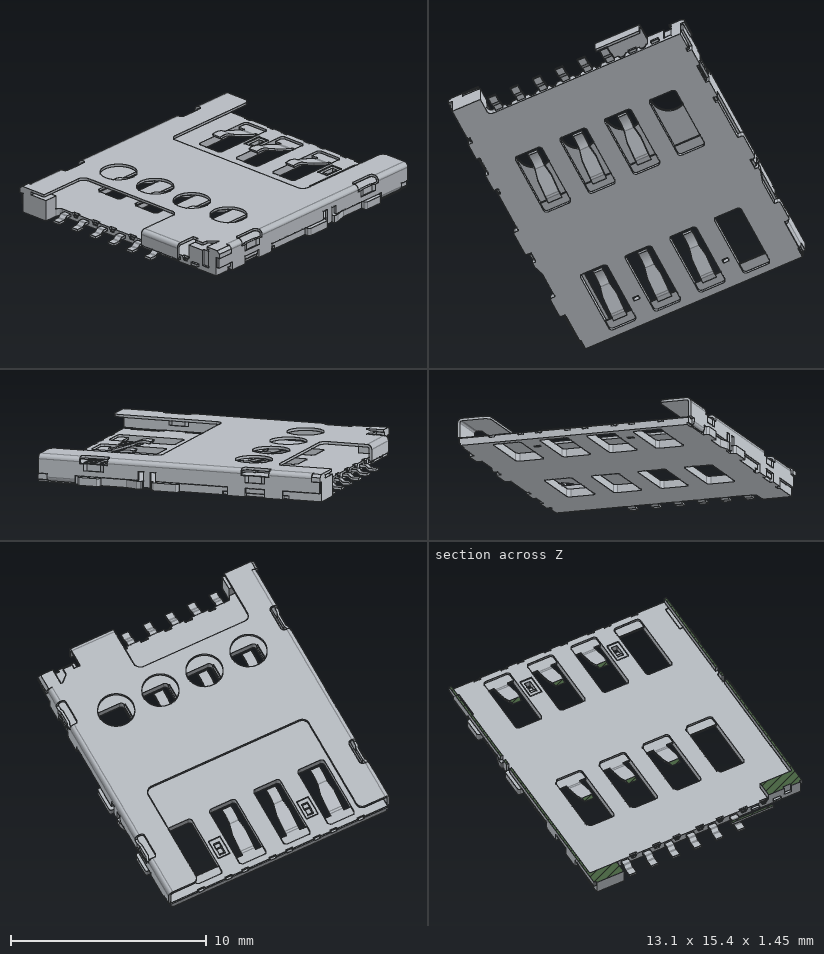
import cadquery as cq

total_width = 13.05
total_height = 1.45
back_y = 7.72
toe_y = -7.72
front_y = -6.72

base_top = 0.42
base_half_width = 6.23
toe_right_x = -4.64
rail_top = 1.16

sheet = 0.14
wall_bottom = 0.45
wall_setback = 0.08
shell_half_width = 6.35
shell_back_y = 7.66
shell_bend = 0.25
shell_underside = total_height - sheet

column_pitch = 2.53
leg_pitch = column_pitch / 2
column_xs = [(i - 1.5) * column_pitch for i in range(4)]
contact_column_xs = column_xs[:3]
row_shift = 7.63
row_offsets = [0, -row_shift]

window_width = 1.51
window_back_y = 7.32
window_front_y = 3.72
window_corner = 0.17
ledge_front_y = 6.8
ledge_top = 0.3
ledge_bottom = 0.19
window_side_step = 0.08

spring_root_width = 0.77
spring_tip_width = 0.54
spring_sheet = 0.12
spring_root = (ledge_front_y + 0.15, ledge_top)
spring_flat_end = (6.69, ledge_top)
spring_slope_start = (6.57, 0.32)
spring_bend_start = (5.13, 0.8)
spring_crown = (4.67, 0.96)
spring_tip = (4.26, 0.93)
spring_tip_undercut = 0.06
taper_back_y = 5.7

view_hole_diameter = 1.9
view_hole_y = -3.14
cutout_corner = 0.37
back_cutout_half_width = 4.6
back_cutout_front_y = 1.65
front_cutout_back_y = -4.76
shell_toe_right_x = -4.76
stop_left_x = 1.76
stop_right_x = 4.25
stop_front_y = -7.5
stop_bottom = 0.59

side_window_ys = [4.67, -4.13]
side_window_length = 1.51
side_window_inner_x = 5.87
side_window_bottom = 1.1
dimple_length = 1.08
dimple_bottom = 0.74
dimple_depth = 0.06
dimple_ramp = 0.19

post_outer_x = 6.46
post_lip_bottom = 1.05
post_chamfer = 0.15
left_post_inner_x = 5.65
left_post_back_y = -7.25
right_post_inner_x = 5.7
right_post_back_y = -5.81
left_rail_back_y = -6.95
right_rail_left_x = 4.35

leg_width = 0.43
leg_sheet = 0.14
leg_root_y = front_y + 0.15
leg_front_y = -7.6
leg_heel_y = -7.22
leg_knee_y = -7.0
leg_exit_top = 0.31
leg_bend = 0.08
first_leg_x = -4.05
leg_xs = [first_leg_x + i * leg_pitch for i in range(6)]
short_leg_xs = [first_leg_x + i * leg_pitch for i in (6, 7)]
short_leg_front_y = -6.86


def block(x0, x1, y0, y1, z0, z1):
    """Box between two opposite corners, given in any order."""
    return cq.Workplane("XY").box(abs(x1 - x0), abs(y1 - y0), abs(z1 - z0)).translate(
        ((x0 + x1) / 2, (y0 + y1) / 2, (z0 + z1) / 2)
    )


def side_extrusion(profile, center_x, width):
    """Extrude a closed (y, z) profile symmetrically along X."""
    return profile.extrude(width / 2, both=True).translate((center_x, 0, 0))


def edge_notches(center_xs, width, y0, y1, depth):
    """Trapezoidal nicks in the top edge of the base."""
    draft = 0.05
    nicks = cq.Workplane("XY")
    for x in center_xs:
        nick = (
            cq.Workplane("XZ", origin=(x, max(y0, y1), base_top))
            .polyline([
                (-width / 2, 0),
                (width / 2, 0),
                (width / 2 - draft, -depth),
                (draft - width / 2, -depth),
            ])
            .close()
            .extrude(abs(y1 - y0))
        )
        nicks = nicks.add(nick)
    return nicks.combine()


def card_window(x, offset):
    """Window bridged at its back end by a thin ledge, in which a spring is rooted."""
    opening = block(
        x - window_width / 2, x + window_width / 2,
        window_front_y + offset, window_back_y + offset,
        0, base_top,
    ).edges("|Z").fillet(window_corner)
    ledge = block(
        x - window_width / 2, x + window_width / 2,
        ledge_front_y + offset, window_back_y + offset,
        ledge_bottom, ledge_top,
    )
    return opening.cut(ledge)


def latch_pocket(x):
    """Stepped pocket with a narrow through hole at its back end."""
    outer_width, outer_back_y, outer_front_y, outer_depth = 0.66, 6.46, 5.35, 0.06
    inner_width, inner_back_y, inner_front_y, inner_depth = 0.32, 6.29, 5.58, 0.34
    step_y, step_depth = 5.81, 0.2
    through_y = 6.1
    half = inner_width / 2
    pocket = block(x - outer_width / 2, x + outer_width / 2,
                   outer_front_y, outer_back_y, base_top - outer_depth, base_top)
    pocket = pocket.union(block(x - half, x + half, inner_front_y, inner_back_y,
                                base_top - step_depth, base_top))
    pocket = pocket.union(block(x - half, x + half, step_y, inner_back_y,
                                base_top - inner_depth, base_top))
    return pocket.union(block(x - half, x + half, through_y, inner_back_y, 0, base_top))


def make_base():
    toe_fillet = 0.23
    back_chamfer = 0.05
    outline = [
        (-base_half_width, toe_y),
        (toe_right_x, toe_y),
        (toe_right_x, front_y),
        (base_half_width, front_y),
        (base_half_width, back_y),
        (-base_half_width, back_y),
    ]
    base = cq.Workplane("XY").polyline(outline).close().extrude(base_top)
    base = base.edges(cq.selectors.NearestToPointSelector((toe_right_x, front_y, base_top / 2)))
    base = base.fillet(toe_fillet)
    base = base.faces(">Y").edges(">Z").chamfer(back_chamfer)

    for offset in row_offsets:
        for x in column_xs:
            base = base.cut(card_window(x, offset))
    for x in column_xs:
        left_x = x - window_width / 2
        base = base.cut(block(left_x - window_side_step, left_x,
                              window_front_y - row_shift + window_corner,
                              window_back_y - row_shift - window_corner,
                              ledge_top, base_top))
    for x in (-column_pitch, column_pitch):
        base = base.cut(latch_pocket(x))

    nick_width, nick_depth = 0.39, 0.12
    wide_nick_width, wide_nick_depth = 0.43, 0.11
    slot_width, wide_slot_width, slot_depth = 0.3, 0.34, 0.22
    narrow_xs = [-3.5 + i * column_pitch for i in range(4)]
    wide_xs = [-2.15 + i * column_pitch for i in range(4)]
    front_nick_back_y = -6.6
    front_slot_back_y = -6.65
    base = base.cut(edge_notches(narrow_xs, nick_width, front_y, front_nick_back_y, nick_depth))
    base = base.cut(edge_notches(wide_xs, wide_nick_width, front_y, front_nick_back_y,
                                 wide_nick_depth))
    base = base.cut(edge_notches(narrow_xs, slot_width, front_y, front_slot_back_y, slot_depth))
    base = base.cut(edge_notches(wide_xs, wide_slot_width, front_y, front_slot_back_y,
                                 slot_depth))

    pair_shift = -0.12
    pair_spread = 0.79
    back_nick_front_y = 7.6
    back_xs = [x + pair_shift + s * pair_spread for x in column_xs for s in (-1, 1)]
    base = base.cut(edge_notches(back_xs, nick_width, back_nick_front_y, back_y, nick_depth))

    foot_outer_x, foot_inner_x, foot_corner = total_width / 2, 6.03, 0.12
    foot_spans = ((4.3, 5.48), (0.02, 1.47))
    bump_outer_x, bump_front_y, bump_ramp_y, bump_back_y = 6.41, 2.04, 2.29, 2.9
    notch_spans = ((-2.63, -2.32), (-5.93, -5.62))
    notch_height, notch_depth = 0.19, 0.12
    steps = ((-4.65, -3.6, 0.17), (7.18, back_y, 0.11))
    step_depth = 0.06
    for side in (-1, 1):
        for y0, y1 in foot_spans:
            foot = block(side * foot_inner_x, side * foot_outer_x, y0, y1, 0, base_top)
            base = base.union(foot.edges("|Z").fillet(foot_corner))
        bump = (
            cq.Workplane("XY")
            .polyline([
                (side * foot_inner_x, bump_front_y),
                (side * bump_outer_x, bump_front_y),
                (side * bump_outer_x, bump_ramp_y),
                (side * base_half_width, bump_back_y),
                (side * foot_inner_x, bump_back_y),
            ])
            .close()
            .extrude(base_top)
        )
        base = base.union(bump)
        for y0, y1, height in steps:
            base = base.cut(block(side * (base_half_width - step_depth), side * base_half_width,
                                  y0, y1, 0, height))
        for y0, y1 in notch_spans:
            base = base.cut(block(side * (base_half_width - notch_depth), side * base_half_width,
                                  y0, y1, 0, notch_height))
    return base


def make_post(side, inner_x, y0, y1):
    """Corner post with a lip that overhangs the side of the shell."""
    post = block(side * inner_x, side * base_half_width, y0, y1, 0, total_height)
    lip = block(side * inner_x, side * post_outer_x, y0, y1, post_lip_bottom, total_height)
    outer_edge = cq.selectors.NearestToPointSelector(
        (side * post_outer_x, (y0 + y1) / 2, total_height)
    )
    return post.union(lip.edges(outer_edge).chamfer(post_chamfer))


def add_corners(base):
    """Add the front corner posts and the card rails beside them."""
    corners = base.union(make_post(-1, left_post_inner_x, toe_y, left_post_back_y))
    corners = corners.union(make_post(1, right_post_inner_x, front_y, right_post_back_y))
    corners = corners.union(block(-base_half_width, toe_right_x, toe_y, left_rail_back_y,
                                  0, rail_top))
    corners = corners.union(block(right_rail_left_x, base_half_width, front_y, right_post_back_y,
                                  0, rail_top))
    slot_left_x, slot_bottom, slot_depth = 5.28, 0.3, 0.12
    return corners.cut(block(slot_left_x, right_post_inner_x, front_y, front_y + slot_depth,
                             slot_bottom, rail_top))


def shell_channel():
    """Bent sheet: flat top with a rounded bend and a wall on each side."""

    def channel_solid(half_width, top, radius):
        solid = block(-half_width, half_width, toe_y, shell_back_y, 0, top)
        return solid.edges("|Y and >Z").fillet(radius)

    outer = channel_solid(shell_half_width, total_height, shell_bend)
    inner = channel_solid(shell_half_width - sheet, shell_underside, shell_bend - sheet)
    return outer.cut(inner)


def cut_walls(shell):
    """Trim the lower edges of the side walls, leaving the tabs."""
    prong_front_y, prong_back_y, prong_bottom = 1.58, 1.93, 0.1
    raised = ((toe_y, -5.62), (-4.65, -3.6), (-2.63, prong_front_y), (prong_back_y, shell_back_y))
    relief_width, relief_top = 0.3, 0.91
    for y0, y1 in raised:
        shell = shell.cut(block(-post_outer_x, post_outer_x, y0, y1, 0, wall_bottom))
    shell = shell.cut(block(-post_outer_x, post_outer_x, prong_front_y, prong_back_y,
                            0, prong_bottom))
    for y0 in (prong_front_y - relief_width, prong_back_y):
        shell = shell.cut(block(-post_outer_x, post_outer_x, y0, y0 + relief_width,
                                0, relief_top))
    for side, post_front_y in ((-1, toe_y), (1, front_y)):
        shell = shell.cut(block(side * base_half_width, side * post_outer_x,
                                toe_y, post_front_y + wall_setback, 0, total_height))
    return shell


def dimple(side, face_x, y):
    """Prism with ramped ends, standing inwards from a side plane of the shell."""
    half = dimple_length / 2
    floor_x = face_x - dimple_depth
    return (
        cq.Workplane("XY", origin=(0, 0, dimple_bottom))
        .polyline([
            (side * face_x, y - half),
            (side * floor_x, y - half + dimple_ramp),
            (side * floor_x, y + half - dimple_ramp),
            (side * face_x, y + half),
        ])
        .close()
        .extrude(side_window_bottom - dimple_bottom)
    )


def cut_side_windows(shell):
    """Windows through the side bends, with a shallow dimple under each."""
    inner_wall_x = shell_half_width - sheet
    corner = 0.15
    for side in (-1, 1):
        for y in side_window_ys:
            y0, y1 = y - side_window_length / 2, y + side_window_length / 2
            window = block(side * side_window_inner_x, side * post_outer_x, y0, y1,
                           side_window_bottom, total_height)
            inner_face = ">X" if side < 0 else "<X"
            shell = shell.cut(window.faces(inner_face).edges("|Z").fillet(corner))
            shell = shell.union(dimple(side, inner_wall_x, y))
            shell = shell.cut(dimple(side, shell_half_width, y))
    return shell


def cut_top(shell):
    """Cutouts through the flat top of the shell."""
    top_plane = cq.Workplane("XY", origin=(0, 0, base_top))
    cut_height = total_height - base_top

    mouth_radius = 0.34
    x, r, m = back_cutout_half_width, cutout_corner, mouth_radius
    entry = (
        top_plane.moveTo(-x - m, shell_back_y)
        .radiusArc((-x, shell_back_y - m), m)
        .lineTo(-x, back_cutout_front_y + r)
        .radiusArc((-x + r, back_cutout_front_y), -r)
        .lineTo(x - r, back_cutout_front_y)
        .radiusArc((x, back_cutout_front_y + r), -r)
        .lineTo(x, shell_back_y - m)
        .radiusArc((x + m, shell_back_y), m)
        .close()
        .extrude(cut_height)
    )
    shell = shell.cut(entry)

    notch = block(shell_toe_right_x, stop_left_x, toe_y, front_cutout_back_y,
                  base_top, total_height)
    shell = shell.cut(notch.faces(">Y").edges("|Z").fillet(cutout_corner))

    shell = shell.cut(block(stop_left_x, stop_right_x, toe_y, stop_front_y, 0, total_height))
    shell = shell.cut(block(stop_right_x, post_outer_x, toe_y, front_y, 0, total_height))

    hook_inner_x, hook_left_x, hook_tip_x, hook_right_x = 4.59, 5.11, 5.52, 5.6
    hook_ear_y, hook_neck_y, hook_bevel_y = -6.29, -6.5, -6.18
    hook = (
        top_plane.moveTo(stop_right_x, front_y)
        .lineTo(stop_right_x, hook_ear_y)
        .lineTo(hook_inner_x, hook_ear_y)
        .lineTo(hook_inner_x, hook_neck_y)
        .lineTo(hook_left_x, hook_neck_y)
        .lineTo(hook_left_x, hook_bevel_y)
        .lineTo(hook_tip_x, right_post_back_y)
        .lineTo(hook_right_x, right_post_back_y)
        .lineTo(hook_right_x, front_y)
        .close()
        .extrude(cut_height)
    )
    shell = shell.cut(hook)

    holes = (
        top_plane.pushPoints([(x, view_hole_y) for x in column_xs])
        .circle(view_hole_diameter / 2)
        .extrude(cut_height)
    )
    return shell.cut(holes)


def make_stop():
    """Card stop: the front of the shell bent downwards."""
    width = stop_right_x - stop_left_x
    inner_bend = shell_bend - sheet
    flat_y = stop_front_y + shell_bend
    profile = (
        cq.Workplane("YZ")
        .moveTo(flat_y, total_height)
        .radiusArc((stop_front_y, total_height - shell_bend), -shell_bend)
        .lineTo(stop_front_y, stop_bottom)
        .lineTo(stop_front_y + sheet, stop_bottom)
        .lineTo(stop_front_y + sheet, shell_underside - inner_bend)
        .radiusArc((flat_y, shell_underside), inner_bend)
        .close()
    )
    return side_extrusion(profile, (stop_left_x + stop_right_x) / 2, width)


def make_clinch(side):
    """Tab of the side wall that curls under the base."""
    inner_x, front_end_y, back_end_y = 6.03, 5.67, 7.18
    bottom, curl = 0.05, 0.23
    tab = block(side * inner_x, side * shell_half_width,
                front_end_y, back_end_y, bottom, wall_bottom)
    outer_face = ">X" if side > 0 else "<X"
    return tab.faces(outer_face).edges("<Z").fillet(curl)


def make_shell():
    shell = cut_top(cut_side_windows(cut_walls(shell_channel())))
    shell = shell.cut(block(stop_left_x, stop_right_x, stop_front_y, stop_front_y + shell_bend,
                            0, total_height))
    shell = shell.union(make_stop())
    for side in (-1, 1):
        shell = shell.union(make_clinch(side))
    return shell


def make_spring(x, offset):
    """Tapered spring arm that rises from the ledge and curls down at the tip."""
    root_y, root_z = spring_root
    flat_y, flat_z = spring_flat_end
    slope_y, slope_z = spring_slope_start
    bend_y, bend_z = spring_bend_start
    crown_y, crown_z = spring_crown
    tip_y, tip_z = spring_tip
    profile = (
        cq.Workplane("YZ")
        .moveTo(root_y, root_z)
        .lineTo(flat_y, flat_z)
        .lineTo(slope_y, slope_z)
        .lineTo(bend_y, bend_z)
        .threePointArc((crown_y, crown_z), (tip_y, tip_z))
        .lineTo(tip_y + spring_tip_undercut, tip_z - spring_sheet)
        .threePointArc((crown_y, crown_z - spring_sheet), (bend_y, bend_z - spring_sheet))
        .lineTo(slope_y, slope_z - spring_sheet)
        .lineTo(flat_y, flat_z - spring_sheet)
        .lineTo(root_y, root_z - spring_sheet)
        .close()
    )
    arm = side_extrusion(profile, 0, spring_root_width)
    root, tip = spring_root_width / 2, spring_tip_width / 2
    outline = (
        cq.Workplane("XY")
        .polyline([
            (-root, root_y), (-root, taper_back_y), (-tip, bend_y), (-tip, tip_y),
            (tip, tip_y), (tip, bend_y), (root, taper_back_y), (root, root_y),
        ])
        .close()
        .extrude(total_height)
    )
    return arm.intersect(outline).translate((x, offset, 0))


def make_leg(x):
    """Solder leg stepped down from the base edge to the board."""
    profile = (
        cq.Workplane("YZ")
        .polyline([
            (leg_root_y, leg_exit_top),
            (leg_knee_y, leg_exit_top),
            (leg_heel_y, leg_sheet),
            (leg_front_y, leg_sheet),
            (leg_front_y, 0),
            (leg_heel_y, 0),
            (leg_knee_y, leg_exit_top - leg_sheet),
            (leg_root_y, leg_exit_top - leg_sheet),
        ])
        .close()
    )
    leg = side_extrusion(profile, x, leg_width)
    for bend_y, bend_z in ((leg_knee_y, leg_exit_top), (leg_heel_y, leg_sheet)):
        bend = cq.selectors.NearestToPointSelector((x, bend_y, bend_z))
        leg = leg.edges(bend).fillet(leg_bend)
    return leg


result = add_corners(make_base()).union(make_shell())
for row_offset in row_offsets:
    for column_x in contact_column_xs:
        result = result.union(make_spring(column_x, row_offset))
for leg_x in leg_xs:
    result = result.union(make_leg(leg_x))
for leg_x in short_leg_xs:
    result = result.union(block(leg_x - leg_width / 2, leg_x + leg_width / 2,
                                short_leg_front_y, leg_root_y,
                                leg_exit_top - leg_sheet, leg_exit_top))